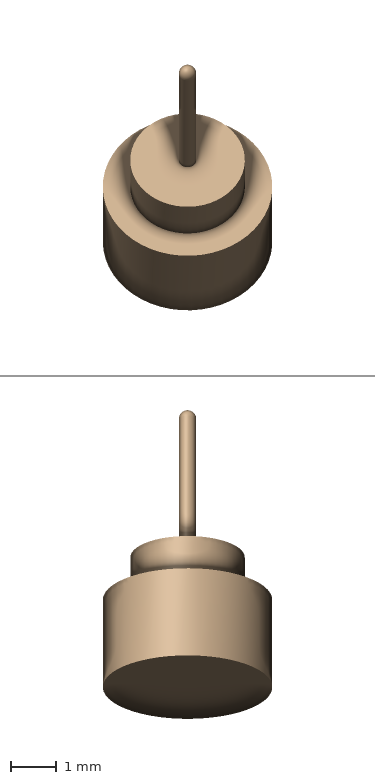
import cadquery as cq

base_diameter = 3.7
base_height = 2.05
collar_diameter = 2.5
collar_height = 1.0
core_diameter = 1.95
pin_diameter = 0.38
overall_height = 6.5

shoulder_height = base_height + collar_height
pin_radius = pin_diameter / 2
pin_straight_top = overall_height - pin_radius


def make_shell():
    """Base flange and collar, bored through for the core."""
    base = cq.Workplane("XY").circle(base_diameter / 2).extrude(base_height)
    stepped = base.faces(">Z").workplane().circle(collar_diameter / 2).extrude(collar_height)
    bore = cq.Workplane("XY").circle(core_diameter / 2).extrude(shoulder_height)
    return stepped.cut(bore)


def make_core_with_pin():
    """Core flush with the collar top, carrying a pin with a hemispherical tip."""
    return (
        cq.Workplane("XZ")
        .lineTo(core_diameter / 2, 0)
        .lineTo(core_diameter / 2, shoulder_height)
        .lineTo(pin_radius, shoulder_height)
        .lineTo(pin_radius, pin_straight_top)
        .radiusArc((0, overall_height), -pin_radius)
        .close()
        .revolve(360, (0, 0, 0), (0, 1, 0))
    )


result = make_shell().union(make_core_with_pin(), clean=False)